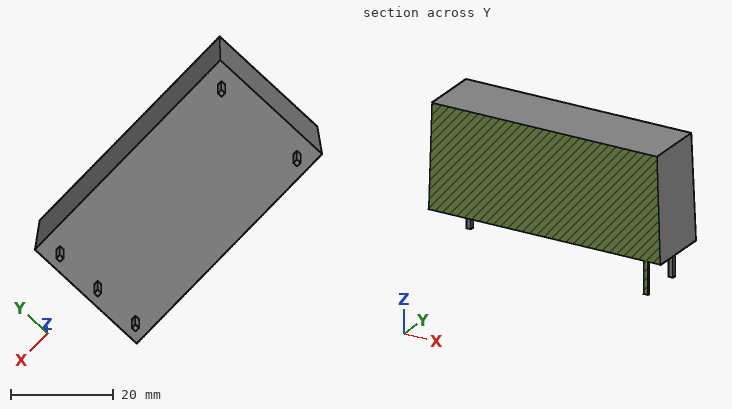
import cadquery as cq

base_length = 52.5
base_width = 27.4
top_length = 51.0
top_width = 26.3
overall_height = 30.08
case_height = 23.0
pin_length = overall_height - case_height

pin_side = 1.0
pin_row_spacing = 45.72
pin_pitch = 10.16
end_x = pin_row_spacing / 2
pin_positions = [
    (-end_x, -pin_pitch),
    (-end_x, pin_pitch),
    (end_x, -pin_pitch),
    (end_x, 0),
    (end_x, pin_pitch),
]


def make_case():
    """Tapered block standing on the XY plane."""
    return (
        cq.Workplane("XY")
        .rect(base_length, base_width)
        .workplane(offset=case_height)
        .rect(top_length, top_width)
        .loft(ruled=True)
    )


def make_pins():
    """Two pins at the -X end and three at the +X end, hanging below the case."""
    return (
        cq.Workplane("XY")
        .pushPoints(pin_positions)
        .rect(pin_side, pin_side)
        .extrude(-pin_length)
    )


result = make_case().union(make_pins())